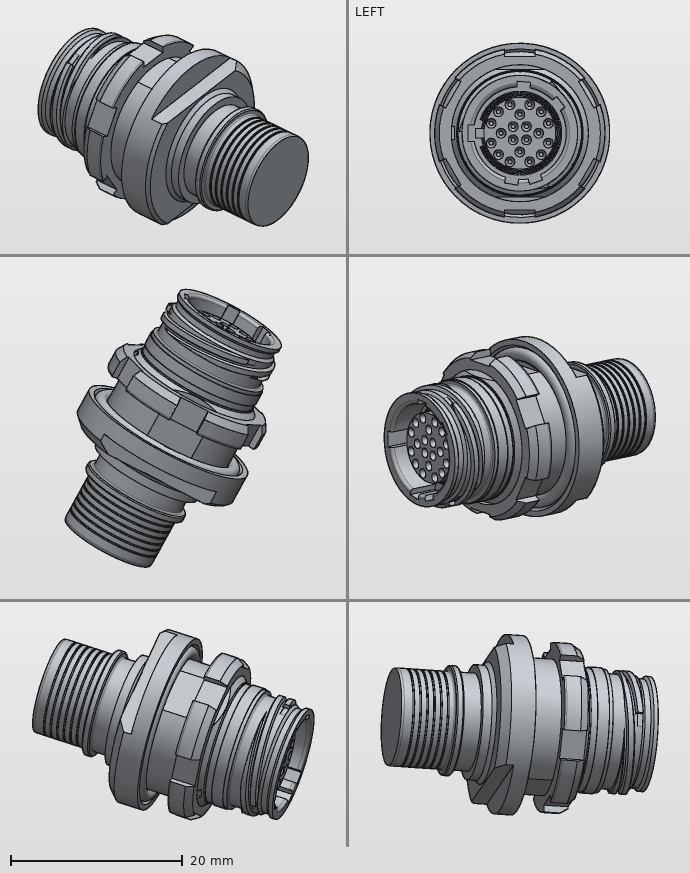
import cadquery as cq
import math


LENGTH = 30.4
OVERCUT = 0.3
MATCH_TOLERANCE = 0.003
FRONT_R = 6.75
NECK_R = 5.75

RIM_END = 0.52
SNAP_R = 6.4
SNAP_START = 0.82
SNAP_END = 1.52

THREAD_START = 1.85
THREAD_END = 4.0
THREAD_R = 7.2
THREAD_LEAD = 3.68
THREAD_STARTS = 3
THREAD_BASE_W = 1.05
THREAD_CREST_W = 0.65
THREAD_ROOT_SINK = 0.1
RIDGE_START_X = 2.22
START_FLAT_LENGTH = 0.65
START_FLAT_DEPTH = 0.043
START_FLAT_ANGLE = 25.0

COLLAR_R = 7.4
COLLAR_START = 5.5
COLLAR_STEP = 0.12
COLLAR_STEP_END = 5.95
COLLAR_GROOVE_START = 7.35
COLLAR_GROOVE_END = 8.15
CONE_START = 8.33

SEAT_R = 8.0
SEAT_FLAT_Z = 7.45
SLOT_W = 1.52
SLOT_FLOOR_Y = 7.6
SLOT_END = 10.03
FLANGE_DIAMETER = 21.0
FLANGE_R = FLANGE_DIAMETER / 2
FLANGE_START = 15.4
FLANGE_END = 19.35
FLANGE_FLAT_START = 17.42
FLANGE_CHAMFER = 0.4
FLANGE_WIDE_CHAMFER = 1.03

SHOULDER_CONE_R = 7.17
SHOULDER_CONE_END = 19.85
SHOULDER_END = 20.9
RING_R = 6.45
RING_START = 23.07
RING_END = 24.0
RING_CHAMFER = 0.15
FOOT_FILLET = 0.15
END_CHAMFER_LENGTH = 0.3
END_CHAMFER_DEPTH = 0.05
GRIP_GROOVE_START = 24.85
GRIP_GROOVE_PITCH = 0.82
GRIP_GROOVE_COUNT = 6
GRIP_GROOVE_W = 0.18
GRIP_GROOVE_DEPTH = 0.1

BORE_R = 5.4
BORE_ROUND = 0.4
LEDGE_X = 3.65
INSERT_R = 4.2
INSERT_FACE_X = 1.37
MOAT_R = 4.5
POCKET_R = 4.9
POCKET_STEPS = 5
POCKET_STEP_DEPTH = 0.12
POCKET_DEPTH = POCKET_STEPS * POCKET_STEP_DEPTH
POCKET_COUNT = 10
WEB_W = 0.18
KEYWAY_R = 6.02
MAIN_KEYWAY_W = 1.9
MINOR_KEYWAY_W = 1.55
MAIN_KEYWAY_ANGLE = -90.0
MINOR_KEYWAY_ANGLES = [4.5, 52.6, 161.6, 189.7]
KEY_NOTCH_W = 1.05

HOLE_MOUTH_DIAMETER = 1.12
HOLE_MOUTH_R = HOLE_MOUTH_DIAMETER / 2
HOLE_FLOOR_R = 0.25
HOLE_DEPTH = 0.9
OUTER_RING_R = 3.53
OUTER_RING_ANGLES = [19.0, 45.0, 71.0]
MIDDLE_RING_R = 2.2
INNER_RING_R = 1.1

NUT_DIAMETER = 19.9
NUT_R = NUT_DIAMETER / 2
NUT_FRONT_R = 9.4
NUT_START = 8.95
NUT_CONE_END = 9.85
NUT_END = 11.83
NUT_BACK_CHAMFER = 0.2
NUT_BACK_DROP = 0.045
NUT_SLOT_COUNT = 6
NUT_SLOT_W = 3.6
NUT_SLOT_FLOOR_R = 8.97

O_RING_TUBE_R = 0.75
O_RING_PROTRUSION = 0.35
O_RING_R = SEAT_R + O_RING_TUBE_R
O_RING_X = FLANGE_START - O_RING_PROTRUSION + O_RING_TUBE_R
O_RING_GROOVE_FLARE = 0.3


def turned(outline):
    """Solid of revolution about X from (x, radius) points."""
    return cq.Workplane("XY").polyline(outline).close().revolve(360, (0, 0, 0), (1, 0, 0))


def tube(x_start, x_end, r_inner, r_outer):
    return cq.Workplane("YZ", (x_start, 0, 0)).circle(r_outer).circle(r_inner).extrude(x_end - x_start)


def rod(x_start, x_end, radius):
    return cq.Workplane("YZ", (x_start, 0, 0)).circle(radius).extrude(x_end - x_start)


def block(x_start, x_end, y_mid, y_width, z_low, z_high):
    size = (x_end - x_start, y_width, z_high - z_low)
    return cq.Workplane("XY").box(*size, centered=(False, True, False)).translate((x_start, y_mid, z_low))


def fillet_circles(shape, circles, radius):
    """Round the circular edges about X given as (x, edge radius) pairs."""
    def is_listed(edge):
        return edge.geomType() == "CIRCLE" and any(
            math.hypot(edge.Center().x - x, edge.radius() - r) < MATCH_TOLERANCE for x, r in circles
        )

    return shape.edges().filter(is_listed).fillet(radius)


def turn_x(shape, angle):
    """Turn about the X axis, from +Z toward -Y."""
    return shape.rotate((0, 0, 0), (1, 0, 0), angle)


def body_blank():
    low_r = COLLAR_R - COLLAR_STEP
    cone_end = CONE_START + SEAT_R - COLLAR_R
    outline = [
        (0, 0), (0, FRONT_R), (RIM_END, FRONT_R), (SNAP_START, SNAP_R), (SNAP_END, SNAP_R),
        (THREAD_START, FRONT_R), (COLLAR_START, FRONT_R),
        (COLLAR_START, low_r), (COLLAR_STEP_END, low_r), (COLLAR_STEP_END, COLLAR_R),
        (COLLAR_GROOVE_START, COLLAR_R), (COLLAR_GROOVE_START, low_r),
        (COLLAR_GROOVE_END, low_r), (COLLAR_GROOVE_END, COLLAR_R), (CONE_START, COLLAR_R),
        (cone_end, SEAT_R), (FLANGE_START, SEAT_R), (FLANGE_START, FLANGE_R),
        (FLANGE_END - FLANGE_CHAMFER, FLANGE_R), (FLANGE_END, FLANGE_R - FLANGE_CHAMFER),
        (FLANGE_END, SHOULDER_CONE_R), (SHOULDER_CONE_END, FRONT_R), (SHOULDER_END, FRONT_R),
        (SHOULDER_END, NECK_R), (RING_START, NECK_R),
        (RING_START, RING_R - RING_CHAMFER), (RING_START + RING_CHAMFER, RING_R),
        (RING_END - RING_CHAMFER, RING_R), (RING_END, RING_R - RING_CHAMFER), (RING_END, NECK_R),
        (LENGTH - END_CHAMFER_LENGTH, NECK_R), (LENGTH, NECK_R - END_CHAMFER_DEPTH), (LENGTH, 0),
    ]
    feet = [(COLLAR_START, FRONT_R), (RING_START, NECK_R), (RING_END, NECK_R)]
    return fillet_circles(turned(outline), feet, FOOT_FILLET)


def thread_ridge(start):
    """One helical ridge that begins beside its flat, trimmed to the threaded stretch."""
    height = THREAD_END - RIDGE_START_X + THREAD_BASE_W
    base_r = FRONT_R - THREAD_ROOT_SINK
    ridge = (
        cq.Workplane("XZ")
        .polyline([
            (base_r, -THREAD_BASE_W / 2), (THREAD_R, -THREAD_CREST_W / 2),
            (THREAD_R, THREAD_CREST_W / 2), (base_r, THREAD_BASE_W / 2),
        ])
        .close()
        .sweep(cq.Workplane(cq.Wire.makeHelix(THREAD_LEAD, height, FRONT_R)), isFrenet=True)
    )
    ridge = ridge.rotate((0, 0, 0), (1, 1, 1), 120).translate((RIDGE_START_X, 0, 0))
    half_flat = math.degrees(math.acos(1 - START_FLAT_DEPTH / FRONT_R))
    ridge = turn_x(ridge, 90 + START_FLAT_ANGLE + half_flat + start * 360 / THREAD_STARTS)
    return ridge.intersect(tube(THREAD_START, THREAD_END, base_r - OVERCUT, THREAD_R + OVERCUT))


def thread_start_flat(index):
    floor_r = FRONT_R - START_FLAT_DEPTH
    width = 2 * math.sqrt(FRONT_R**2 - floor_r**2)
    flat = block(THREAD_START, THREAD_START + START_FLAT_LENGTH, 0, width, floor_r, THREAD_R + OVERCUT)
    return turn_x(flat, START_FLAT_ANGLE + index * 360 / THREAD_STARTS)


def flat_cuts(x_start, x_end):
    """Stock above and below the pair of flats."""
    upper = block(x_start, x_end, 0, 2 * FLANGE_R, SEAT_FLAT_Z, FLANGE_R + OVERCUT)
    return upper.union(turn_x(upper, 180))


def wide_flange_chamfer():
    """Deeper edge chamfer on the +Y half of the flange."""
    corner = turned([
        (FLANGE_END - FLANGE_WIDE_CHAMFER, FLANGE_R), (FLANGE_END, FLANGE_R),
        (FLANGE_END, FLANGE_R - FLANGE_WIDE_CHAMFER),
    ])
    half = block(FLANGE_START, FLANGE_END, FLANGE_R / 2, FLANGE_R, -FLANGE_R, FLANGE_R)
    return corner.intersect(half)


def locating_slot():
    slot_depth = SEAT_R + OVERCUT - SLOT_FLOOR_Y
    return block(CONE_START, SLOT_END, SLOT_FLOOR_Y + slot_depth / 2, slot_depth, -SLOT_W / 2, SLOT_W / 2)


def grip_groove(index):
    x = GRIP_GROOVE_START + index * GRIP_GROOVE_PITCH
    return tube(x - GRIP_GROOVE_W / 2, x + GRIP_GROOVE_W / 2, NECK_R - GRIP_GROOVE_DEPTH, NECK_R + OVERCUT)


def o_ring_groove():
    """Face groove in the flange with a flared outer wall."""
    floor_x = O_RING_X + O_RING_TUBE_R
    outer_r = O_RING_R + O_RING_TUBE_R
    return turned([
        (FLANGE_START, SEAT_R), (floor_x, SEAT_R), (floor_x, outer_r),
        (O_RING_X, outer_r), (FLANGE_START, outer_r + O_RING_GROOVE_FLARE),
    ])


def socket_cut():
    """Mating cavity around the raised insert, with the rounded entry."""
    mid = BORE_ROUND * (1 - math.sqrt(0.5))
    return (
        cq.Workplane("XY")
        .moveTo(0, 0)
        .lineTo(0, BORE_R + BORE_ROUND)
        .threePointArc((mid, BORE_R + mid), (BORE_ROUND, BORE_R))
        .lineTo(LEDGE_X, BORE_R)
        .lineTo(LEDGE_X, INSERT_R)
        .lineTo(INSERT_FACE_X, INSERT_R)
        .lineTo(INSERT_FACE_X, 0)
        .close()
        .revolve(360, (0, 0, 0), (1, 0, 0))
    )


def stepped_ring():
    """Ring around the insert whose floor rises outward in even steps."""
    step_r = (POCKET_R - INSERT_R) / POCKET_STEPS
    outline = [(LEDGE_X, INSERT_R)]
    for step in range(POCKET_STEPS):
        floor_x = LEDGE_X + POCKET_DEPTH - step * POCKET_STEP_DEPTH
        inner_r = INSERT_R + step * step_r
        outline += [(floor_x, inner_r), (floor_x, inner_r + step_r)]
    outline.append((LEDGE_X, POCKET_R))
    return turned(outline)


def ledge_pockets():
    """Stepped ring in the ledge, parted by thin webs; solid on the +Y key sector."""
    floor_x = LEDGE_X + POCKET_DEPTH
    pockets = stepped_ring()
    for index in range(POCKET_COUNT):
        web = block(LEDGE_X, floor_x, 0, WEB_W, MOAT_R, POCKET_R + OVERCUT)
        pockets = pockets.cut(turn_x(web, index * 360 / POCKET_COUNT))
    half_sector = math.radians(180 / POCKET_COUNT)
    reach = POCKET_R + OVERCUT
    key_sector = (
        cq.Workplane("YZ", (LEDGE_X, 0, 0))
        .polyline([(0, 0), (reach, reach * math.tan(half_sector)), (reach, -reach * math.tan(half_sector))])
        .close()
        .extrude(POCKET_DEPTH)
        .cut(rod(LEDGE_X, floor_x, MOAT_R))
    )
    notch_depth = POCKET_R + OVERCUT - INSERT_R
    notch_y = INSERT_R + notch_depth / 2
    key_notch = block(LEDGE_X, floor_x, notch_y, notch_depth, -KEY_NOTCH_W / 2, KEY_NOTCH_W / 2)
    key_notch = key_notch.cut(rod(LEDGE_X, floor_x, INSERT_R))
    return pockets.cut(key_sector).union(key_notch)


def keyway(angle, width):
    cut = block(0, LEDGE_X, 0, width, INSERT_R + OVERCUT, KEYWAY_R)
    return turn_x(cut, angle)


def contact_hole_centers():
    polar = [(INNER_RING_R, 45.0 + 90 * quadrant) for quadrant in range(4)]
    polar += [(MIDDLE_RING_R, 90.0 * quadrant) for quadrant in range(4)]
    polar += [(OUTER_RING_R, a + 90 * quadrant) for quadrant in range(4) for a in OUTER_RING_ANGLES]
    return [(r * math.cos(math.radians(a)), r * math.sin(math.radians(a))) for r, a in polar]


def contact_hole(y, z):
    cone = cq.Solid.makeCone(
        HOLE_MOUTH_R, HOLE_FLOOR_R, HOLE_DEPTH, cq.Vector(INSERT_FACE_X, y, z), cq.Vector(1, 0, 0)
    )
    return cq.Workplane(cone)


def make_body():
    body = body_blank()
    for start in range(THREAD_STARTS):
        body = body.union(thread_ridge(start))
    for index in range(THREAD_STARTS):
        body = body.cut(thread_start_flat(index))
    body = body.cut(flat_cuts(CONE_START, FLANGE_START))
    body = body.cut(wide_flange_chamfer())
    body = body.cut(flat_cuts(FLANGE_FLAT_START, FLANGE_END))
    body = body.cut(locating_slot())
    for index in range(GRIP_GROOVE_COUNT):
        body = body.cut(grip_groove(index))
    body = body.cut(o_ring_groove())
    body = body.cut(socket_cut()).cut(ledge_pockets())
    body = body.cut(keyway(MAIN_KEYWAY_ANGLE, MAIN_KEYWAY_W))
    for angle in MINOR_KEYWAY_ANGLES:
        body = body.cut(keyway(angle, MINOR_KEYWAY_W))
    for y, z in contact_hole_centers():
        body = body.cut(contact_hole(y, z))
    return body


def make_nut():
    nut = turned([
        (NUT_START, SEAT_R), (NUT_START, NUT_FRONT_R), (NUT_CONE_END, NUT_R),
        (NUT_END - NUT_BACK_CHAMFER, NUT_R), (NUT_END, NUT_R - NUT_BACK_DROP), (NUT_END, SEAT_R),
    ])
    slot = block(NUT_START, NUT_END, 0, NUT_SLOT_W, NUT_SLOT_FLOOR_R, NUT_R + OVERCUT)
    for index in range(NUT_SLOT_COUNT):
        nut = nut.cut(turn_x(slot, index * 360 / NUT_SLOT_COUNT))
    return nut


def make_o_ring():
    return (
        cq.Workplane("XY")
        .center(O_RING_X, O_RING_R)
        .circle(O_RING_TUBE_R)
        .revolve(360, (0, -O_RING_R, 0), (1, -O_RING_R, 0))
    )


body = make_body()
nut = make_nut()
o_ring = make_o_ring()

result = cq.Compound.makeCompound([body.solids().val(), nut.solids().val(), o_ring.val()])